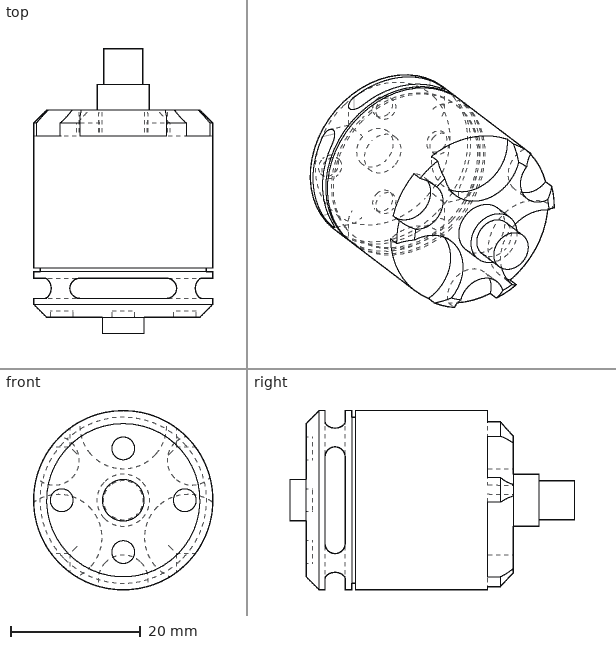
import cadquery as cq
import math

TOTAL_LENGTH = 44.0
BODY_RADIUS = 13.85
CHAMFER = 2.02

FRONT_FACE = 2.5
SLOT_START = 5.45
SLOT_END = 8.55
GROOVE_START = 9.6
GROOVE_END = 10.1
SCALLOP_FLOOR = 30.55
REAR_FACE = 34.55
COLLAR_END = 38.5

GROOVE_RADIUS = 12.85
STUB_RADIUS = 3.2
COLLAR_RADIUS = 4.05
SHAFT_RADIUS = 3.05

SLOT_LENGTH = 16.45

HOLE_DIAMETER = 3.5
HOLE_DEPTH = 1.0
HOLE_OFFSET_X = 9.5
HOLE_OFFSET_Z = 8.0

SCALLOP_PAIRS = 3
WIDE_SCALLOP_RADIUS = 6.7
WIDE_SCALLOP_OFFSET = 11.55
WIDE_SCALLOP_ANGLE = 90
NARROW_SCALLOP_RADIUS = 3.85
NARROW_SCALLOP_OFFSET = 12.28
NARROW_SCALLOP_ANGLE = 30


def cylinder(radius, start, end, x=0, z=0):
    """Cylinder parallel to the motor axis, between two stations."""
    axis = cq.Vector(0, 1, 0)
    return cq.Workplane(cq.Solid.makeCylinder(radius, end - start, cq.Vector(x, start, z), axis))


def make_body():
    """Chamfered can with a groove, plus the stub, collar and shaft."""
    can = cylinder(BODY_RADIUS, FRONT_FACE, REAR_FACE)
    can = can.faces("<Y or >Y").chamfer(CHAMFER)
    ring = cylinder(BODY_RADIUS, GROOVE_START, GROOVE_END)
    can = can.cut(ring.cut(cylinder(GROOVE_RADIUS, GROOVE_START, GROOVE_END)))
    can = can.union(cylinder(STUB_RADIUS, 0, FRONT_FACE))
    can = can.union(cylinder(COLLAR_RADIUS, REAR_FACE, COLLAR_END))
    return can.union(cylinder(SHAFT_RADIUS, COLLAR_END, TOTAL_LENGTH))


def make_cooling_slots():
    """Two round-ended slots crossing at right angles, each right through the can."""
    slot = (
        cq.Workplane("XY")
        .center(0, (SLOT_START + SLOT_END) / 2)
        .slot2D(SLOT_LENGTH, SLOT_END - SLOT_START)
        .extrude(BODY_RADIUS, both=True)
    )
    return slot.union(slot.rotate((0, 0, 0), (0, 1, 0), 90))


def cut_face_holes(part):
    """Four blind holes around the stub, the X pair further out than the Z pair."""
    centers = [(HOLE_OFFSET_X, 0), (-HOLE_OFFSET_X, 0), (0, HOLE_OFFSET_Z), (0, -HOLE_OFFSET_Z)]
    for x, z in centers:
        part = part.cut(cylinder(HOLE_DIAMETER / 2, FRONT_FACE, FRONT_FACE + HOLE_DEPTH, x, z))
    return part


def cut_scallops(part, radius, offset, first_angle):
    """Equally spaced round scallops in the rear rim, leaving teeth between them."""
    for index in range(SCALLOP_PAIRS):
        angle = math.radians(first_angle + index * 360 / SCALLOP_PAIRS)
        x = offset * math.cos(angle)
        z = offset * math.sin(angle)
        part = part.cut(cylinder(radius, SCALLOP_FLOOR, REAR_FACE, x, z))
    return part


motor = make_body().cut(make_cooling_slots())
motor = cut_face_holes(motor)
motor = cut_scallops(motor, WIDE_SCALLOP_RADIUS, WIDE_SCALLOP_OFFSET, WIDE_SCALLOP_ANGLE)
motor = cut_scallops(motor, NARROW_SCALLOP_RADIUS, NARROW_SCALLOP_OFFSET, NARROW_SCALLOP_ANGLE)
result = motor